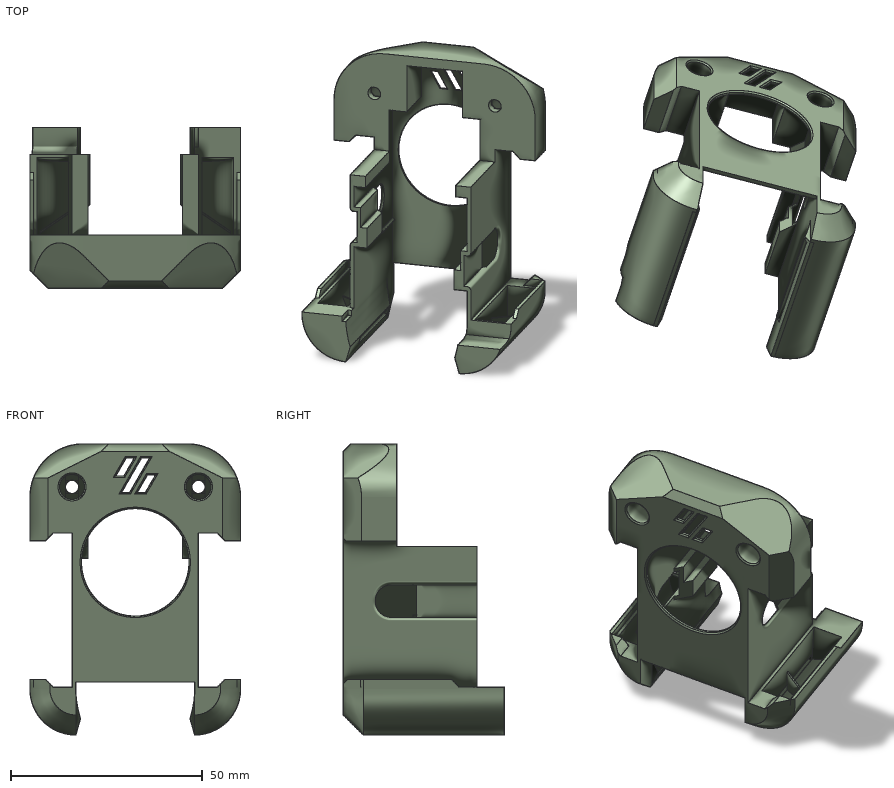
import cadquery as cq
import math


half_width = 27.5
height = 75.95
skin = 1.0
step = 2.0
bridge = 0.2

bay_half = 15.5
wall_outer = bay_half + skin
plate_bottom = 13.8
fan_z = 45.05
fan_back = 10.9
opening_half = 12.3
retainer_bottom = 46.1
hole_dia = 28.0
edge_chamfer = 0.4

head_depth = 14.0
head_bottom = 50.7
head_radius = 14.0
side_chamfer = 4.8
head_step_x = 23.4
facet_offset = 4.9

screw_x = 16.5
screw_z = 64.7
screw_dia = 3.4
screw_head_dia = 6.5

vents = [(-5.7, 67.2, 5.4), (-4.25, 62.8, 9.8), (-0.15, 62.8, 5.4)]
vent_width = 3.0
vent_lean = math.tan(math.radians(30))
vent_bay_half = 7.6
vent_bay_top = 73.3

wall_back = 34.95
wall_top = 49.2
slot_radius = 4.25
slot_end = 8.35
slot_floor = 14.6
slot_round = 0.9
left_slot_z = 25.9
right_slot_z = 34.95
housing_front = 18.2
housing_half_height = 5.5
housing_thin = 13.7
housing_thick = 11.85

rib_z = 25.7
rib_size = 0.6

leg_radius = half_width - bay_half
leg_top = 12.5
lip_top = leg_top + step
lip_inner = half_width - skin
lip_end = 28.25
leg_chamfer = 5.25
web_depth = 4.55
leg_back = 42.0
left_wing_top = 7.8
wing_ramp_rise = 0.6

pocket_wall = 1.9
pocket_front = 5.9
pocket_back = 34.1
pocket_back_draft = 1.2
vane_top = 8.1
vane_inner_y = 19.75
vane_outer_y = 14.1
vane_width = 0.5

nose_front = 6.1
nose_peak = 14.3
nose_peak_z = 4.25
nose_mid_x = 15.1
nose_mid_z = 7.8
nose_start_z = 11.1
outlet_front = 7.6
outlet_back = 32.7
outlet_bottom = 2.0
outlet_top = 3.8

far = 151.9
pick_margin = 0.1


def box(x0, x1, y0, y1, z0, z1):
    return cq.Workplane("XY").box(x1 - x0, y1 - y0, z1 - z0, centered=False).translate((x0, y0, z0))


def extrude_y(outline, y0, y1):
    """Extrude an outline drawn on the XZ plane from y0 to y1."""
    return outline.extrude(y0 - y1).translate((0, y0, 0))


def polygon_y(points, y0, y1):
    return extrude_y(cq.Workplane("XZ").polyline(points).close(), y0, y1)


def polygon_x(points, x0, x1):
    return cq.Workplane("YZ").polyline(points).close().extrude(x1 - x0).translate((x0, 0, 0))


def polygon_z(points, z0, z1):
    return cq.Workplane("XY").polyline(points).close().extrude(z1 - z0).translate((0, 0, z0))


def cylinder_y(x, z, diameter, y0, y1):
    return extrude_y(cq.Workplane("XZ").center(x, z).circle(diameter / 2), y0, y1)


def beyond(point, normal):
    """A large block filling the space beyond a plane."""
    return cq.Workplane(cq.Plane(origin=point, normal=normal)).rect(far, far).extrude(far)


def countersink_y(x, z, diameter):
    cone = cq.Solid.makeCone(
        diameter / 2 + edge_chamfer, diameter / 2, edge_chamfer, cq.Vector(x, 0, z), cq.Vector(0, 1, 0)
    )
    return cq.Workplane(cone)


def both_sides(right_half):
    return right_half.union(right_half.mirror("YZ"))


def head():
    block = (
        box(-half_width, half_width, 0, head_depth, head_bottom, height)
        .edges("|Y and >Z").fillet(head_radius)
    )
    step_x = head_step_x - step
    block = block.cut(polygon_y(
        [(-head_step_x, head_bottom), (-step_x, head_bottom + step),
         (step_x, head_bottom + step), (head_step_x, head_bottom)], 0, head_depth))
    block = block.cut(beyond((0, 0, height - step), (0, -1, 1)))
    for side in (-1, 1):
        block = block.cut(beyond((side * (half_width - side_chamfer), 0, 0), (side, -1, 0)))
        block = block.cut(beyond((side * facet_offset, 0, height), (side, -1, 2)))
    neck = box(-wall_outer, wall_outer, 0, head_depth, wall_top, head_bottom + step)
    return block.union(neck)


def fan_bay():
    """Space for the fan, with a smaller recess above it behind the vents."""
    bay_top = fan_z + bay_half
    bay = box(-bay_half, bay_half, skin, leg_back, 0, bay_top)
    vent_bay = box(-vent_bay_half, vent_bay_half, skin, head_depth, bay_top, vent_bay_top)
    return bay.union(vent_bay)


def fan_hole():
    return cylinder_y(0, fan_z, hole_dia, 0, skin).union(countersink_y(0, fan_z, hole_dia))


def screw_hole(x):
    """Counterbored hole whose floor narrows to a slot, then a square, then the round hole."""
    half = screw_dia / 2
    bore = cylinder_y(x, screw_z, screw_head_dia, 0, fan_back)
    slot = (
        cylinder_y(x, screw_z, screw_head_dia, 0, fan_back + bridge)
        .intersect(box(x - half, x + half, 0, head_depth, 0, height))
    )
    square = box(x - half, x + half, 0, fan_back + 2 * bridge, screw_z - half, screw_z + half)
    shank = cylinder_y(x, screw_z, screw_dia, 0, head_depth)
    return bore.union(slot).union(square).union(shank).union(countersink_y(x, screw_z, screw_head_dia))


def vent(x, z, tall):
    """Leaning slot through the skin, with a chamfered front edge."""
    lean = tall * vent_lean
    points = [(x, z), (x + vent_width, z), (x + vent_width + lean, z + tall), (x + lean, z + tall)]
    opening = extrude_y(cq.Workplane("XZ").polyline(points).close().offset2D(-edge_chamfer), 0, skin)
    bevel = cq.Workplane("XZ").polyline(points).close().extrude(-edge_chamfer, taper=45)
    return opening.union(bevel)


def retainer():
    """Right-hand pad with a 45 degree lead, holding the fan from behind."""
    points = [(bay_half, fan_back), (opening_half, fan_back + bay_half - opening_half),
              (opening_half, wall_back), (bay_half, wall_back)]
    rear = polygon_z(points, retainer_bottom, wall_top)
    upper = polygon_z(points, wall_top, fan_z + bay_half)
    return rear.union(upper.intersect(box(0, far, 0, head_depth, 0, far)))


def slot_cutter(x0, x1, z):
    centre_y = slot_end + slot_radius
    straight = box(x0, x1, centre_y, wall_back, z - slot_radius, z + slot_radius)
    end = cq.Workplane("YZ").center(centre_y, z).circle(slot_radius).extrude(x1 - x0).translate((x0, 0, 0))
    return straight.union(end)


def side_wall(slot_z):
    """Right side wall with its rounded slot and the stepped housing behind it."""
    wall = box(bay_half, wall_outer, 0, wall_back, leg_top, wall_top)
    wall = wall.cut(slot_cutter(bay_half, wall_outer, slot_z))
    reach = slot_radius + slot_round
    rim = cq.selectors.BoxSelector(
        (wall_outer - pick_margin, slot_end - slot_round, slot_z - reach),
        (wall_outer + pick_margin, wall_back - pick_margin, slot_z + reach))
    wall = wall.edges(rim).fillet(slot_round)

    def housing(inner_x, z0, z1):
        return polygon_z(
            [(bay_half, housing_front), (inner_x, housing_front + bay_half - inner_x),
             (inner_x, wall_back), (bay_half, wall_back)], z0, z1)

    pad = housing(housing_thin, slot_z - housing_half_height, slot_z + housing_half_height)
    pad = pad.union(housing(housing_thick, slot_z - housing_half_height, slot_z))
    pad = pad.cut(slot_cutter(slot_floor, bay_half, slot_z))
    return wall.union(pad)


def leg_outline():
    """Quarter-round leg section up to the leg top."""
    corner = leg_radius * math.sqrt(0.5)
    return (
        cq.Workplane("XZ").moveTo(bay_half, 0)
        .threePointArc((bay_half + corner, leg_radius - corner), (half_width, leg_radius))
        .lineTo(half_width, leg_top).lineTo(bay_half, leg_top).close()
    )


def leg_front_limit():
    """Space left by the front chamfer: a cone round the leg bottom, a bevel up its side."""
    narrow = leg_radius - leg_chamfer
    cone = (
        cq.Workplane("XY").polyline([(0, 0), (narrow, 0), (leg_radius, leg_chamfer),
                                     (leg_radius, leg_back), (0, leg_back)]).close()
        .revolve(360, (0, 0, 0), (0, 1, 0)).translate((bay_half, 0, leg_radius))
    )
    side = polygon_z(
        [(bay_half, 0), (bay_half + narrow, 0), (half_width, leg_chamfer),
         (half_width, leg_back), (bay_half, leg_back)], leg_radius, lip_top)
    return cone.union(side)


def pocket():
    """Open-topped duct with a round floor, a drafted rear wall and a low slanting vane."""
    radius = leg_radius - pocket_wall
    inner_x = bay_half + pocket_wall
    round_part = cylinder_y(bay_half, leg_radius, 2 * radius, pocket_front, pocket_back)
    top_part = box(bay_half, bay_half + radius, pocket_front, pocket_back, leg_radius, lip_top)
    limit = polygon_x(
        [(pocket_front, 0), (pocket_back - pocket_back_draft, 0), (pocket_back, leg_top),
         (pocket_back, lip_top), (pocket_front, lip_top)], inner_x, half_width)
    outer_x = half_width - pocket_wall
    half = vane_width / 2
    vane = polygon_z(
        [(inner_x, vane_inner_y - half), (outer_x, vane_outer_y - half),
         (outer_x, vane_outer_y + half), (inner_x, vane_inner_y + half)], 0, vane_top)
    return round_part.union(top_part).intersect(limit).cut(vane)


def outlet_nose():
    """Nose along the inner side of the leg, its front end cut at 45 degrees."""
    nose = (
        cq.Workplane("XZ").moveTo(bay_half + skin, 0).lineTo(bay_half, 0)
        .lineTo(nose_peak, nose_peak_z)
        .threePointArc((nose_mid_x, nose_mid_z), (bay_half, nose_start_z))
        .lineTo(bay_half + skin, nose_start_z).close()
    )
    nose = extrude_y(nose, nose_front, leg_back)
    return nose.cut(beyond((bay_half, nose_front, 0), (-1, -1, 0)))


def leg(is_left):
    """Right-hand leg; the left one has a lower rear wing and is mirrored afterwards."""
    body = extrude_y(leg_outline(), 0, leg_back)
    web = polygon_y(
        [(head_step_x - step, leg_top), (half_width, leg_top), (half_width, lip_top), (head_step_x, lip_top)],
        0, web_depth)
    lip = polygon_x(
        [(0, leg_top), (lip_end + step, leg_top), (lip_end, lip_top), (0, lip_top)], lip_inner, half_width)
    body = body.union(web).union(lip).intersect(leg_front_limit()).union(outlet_nose())
    body = body.cut(pocket())
    body = body.cut(box(0, bay_half + pocket_wall, outlet_front, outlet_back, outlet_bottom, outlet_top))
    if is_left:
        return body.cut(polygon_x(
            [(wall_back, left_wing_top + wing_ramp_rise), (wall_back + step, left_wing_top),
             (leg_back, left_wing_top), (leg_back, leg_top), (wall_back, leg_top)], 0, half_width))
    return body.cut(box(0, wall_outer, wall_back + step, leg_back, nose_start_z, leg_top))


def fan_rib():
    """Triangular rib on the inside of the right wall, as deep as the fan bay."""
    points = [(bay_half, rib_z - rib_size), (bay_half - rib_size, rib_z), (bay_half, rib_z + rib_size)]
    return polygon_y(points, skin, fan_back)


result = head().union(box(-bay_half, bay_half, 0, skin, plate_bottom, head_bottom + step))
result = result.cut(fan_bay()).cut(fan_hole())
for x in (-screw_x, screw_x):
    result = result.cut(screw_hole(x))
for x, z, tall in vents:
    result = result.cut(vent(x, z, tall))
result = result.union(both_sides(retainer()))
result = result.union(side_wall(right_slot_z)).union(side_wall(left_slot_z).mirror("YZ"))
result = result.union(leg(False)).union(leg(True).mirror("YZ"))
result = result.union(fan_rib()).solids()